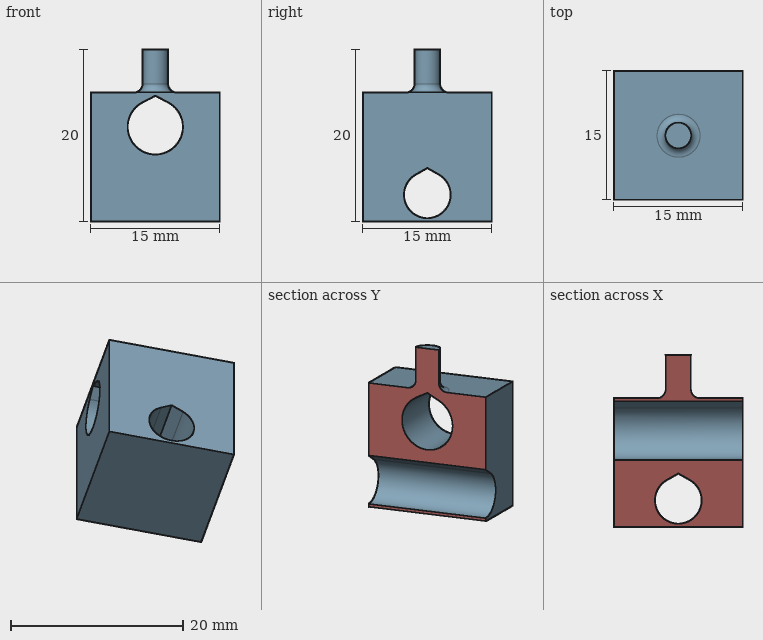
import cadquery as cq
import math

cube_side = 15
pin_diameter = 3
pin_height = 5
pin_fillet = 1

large_diameter = 6.4
large_axis_height = 11
small_diameter = 5.4
small_axis_height = 3.1
roof_rise = 0.4


def teardrop_cutter(plane, diameter, axis_height):
    """Through-cutter on a vertical plane: a circle with a roof tangent to it."""
    radius = diameter / 2
    peak_distance = radius + roof_rise
    roof_angle = math.acos(radius / peak_distance)
    tangent_x = radius * math.sin(roof_angle)
    tangent_y = axis_height + radius * math.cos(roof_angle)
    tip_y = axis_height + peak_distance
    return (
        cq.Workplane(plane)
        .moveTo(-tangent_x, tangent_y)
        .threePointArc((0, axis_height - radius), (tangent_x, tangent_y))
        .lineTo(0, tip_y)
        .close()
        .extrude(cube_side, both=True)
    )


cube = cq.Workplane("XY").box(cube_side, cube_side, cube_side, centered=(True, True, False))

pin_radius = pin_diameter / 2
foot_radius = pin_radius + pin_fillet
fillet_top = cube_side + pin_fillet
arc_offset = pin_fillet * math.sqrt(0.5)
pin = (
    cq.Workplane("XZ")
    .moveTo(0, cube_side)
    .lineTo(foot_radius, cube_side)
    .threePointArc((foot_radius - arc_offset, fillet_top - arc_offset), (pin_radius, fillet_top))
    .lineTo(pin_radius, cube_side + pin_height)
    .lineTo(0, cube_side + pin_height)
    .close()
    .revolve(360, (0, 0), (0, 1))
)

large_hole = teardrop_cutter("XZ", large_diameter, large_axis_height)
small_hole = teardrop_cutter("YZ", small_diameter, small_axis_height)

result = cube.union(pin).cut(large_hole).cut(small_hole)